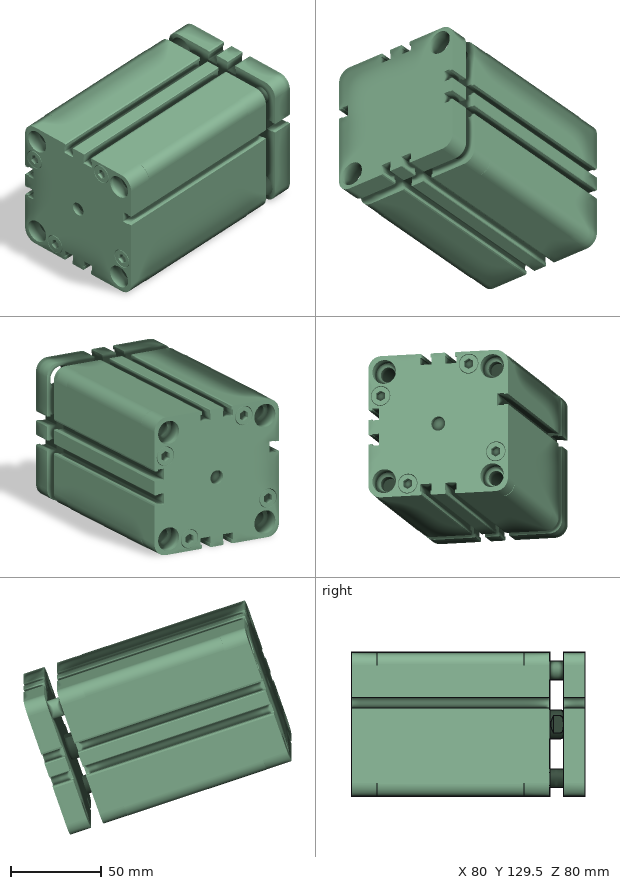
import cadquery as cq

side = 80.0
half = side / 2
total_length = 129.5
cap_length = 14.2
plate_thickness = 12.0
gap = 7.5
plate_start = total_length - plate_thickness
body_length = plate_start - gap
barrel_length = body_length - 2 * cap_length
cap_corner_radius = 7.3
barrel_corner_radius = 6.7

slot_depth = 6.2
slot_lip = 2.2
slot_inner_edge = 3.9
slot_outer_edge = 10.5
slot_inner_lip = 0.4
slot_outer_lip = 0.9
slot_corner_radius = 0.8
mouth_bevel_drop = 0.3
single_slot_center = 11.9
single_slot_width = 6.7
single_slot_mouth = 5.8

corner_offset = 31.0
corner_bore = 8.4
counterbore = 13.5
counterbore_depth = 8.5
plate_bore = 14.0

screw_far = 33.0
screw_near = 17.5
screw_recess = 11.1
screw_head = 10.5
screw_head_height = 6.0
socket_corners = 6.0
socket_depth = 4.0

center_bore = 8.0
center_depth = 4.0

pin_offset = 29.9
pin_diameter = 10.5
rod_diameter = 16.0
rod_flats = 13.0
rod_tip_radius = 1.7
flat_run_out_offset = 0.6


def xz_plane(y):
    """Sketch plane at the given Y: local x is X, local y is Z; a negative extrusion goes toward +Y."""
    return cq.Workplane("XZ", origin=(0, y, 0))


def cylinder(x, z, diameter, start, length):
    return xz_plane(start).center(x, z).circle(diameter / 2).extrude(-length)


def rounded_block(start, length, radius):
    return xz_plane(start).rect(side, side).extrude(-length).edges("|Y").fillet(radius)


def turn(solid, angle):
    """Rotate a solid about the part's Y axis."""
    return solid.rotate((0, 0, 0), (0, 1, 0), angle)


def paired_slot():
    """One slot in the +Z face, on the +X side of the middle, along the whole length."""
    floor = half - slot_depth
    lip_bottom = half - slot_lip
    bevel_bottom = half - mouth_bevel_drop
    mouth_inner = slot_inner_edge + slot_inner_lip
    mouth_outer = slot_outer_edge - slot_outer_lip
    return (
        xz_plane(0)
        .moveTo(slot_inner_edge, half)
        .lineTo(mouth_inner, bevel_bottom)
        .lineTo(mouth_inner, lip_bottom)
        .lineTo(slot_inner_edge, lip_bottom)
        .lineTo(slot_inner_edge, floor)
        .lineTo(slot_outer_edge - slot_corner_radius, floor)
        .radiusArc((slot_outer_edge, floor + slot_corner_radius), -slot_corner_radius)
        .lineTo(slot_outer_edge, lip_bottom)
        .lineTo(mouth_outer, lip_bottom)
        .lineTo(mouth_outer, bevel_bottom)
        .lineTo(slot_outer_edge, half)
        .close()
        .extrude(-total_length)
    )


def single_slot():
    """The only slot in the +X face, along the whole length."""
    cavity_depth = slot_depth - slot_lip
    cavity_x = half - slot_lip - cavity_depth / 2
    mouth = xz_plane(0).center(half - slot_depth / 2, single_slot_center)
    cavity = xz_plane(0).center(cavity_x, single_slot_center)
    return (
        mouth.rect(slot_depth, single_slot_mouth).extrude(-total_length)
        .union(cavity.rect(cavity_depth, single_slot_width).extrude(-total_length))
    )


def piston_rod():
    """Rod across the gap, rounded at the plate, with two wrench flats facing -X and +X."""
    radius = rod_diameter / 2
    flat = rod_flats / 2
    rod = (
        cq.Workplane("XY")
        .moveTo(0, body_length)
        .lineTo(radius, body_length)
        .lineTo(radius, plate_start - rod_tip_radius)
        .radiusArc((radius - rod_tip_radius, plate_start), -rod_tip_radius)
        .lineTo(0, plate_start)
        .close()
        .revolve(360, (0, 0, 0), (0, 1, 0))
    )
    run_out_start = body_length + flat_run_out_offset
    flat_end = run_out_start + radius - flat
    flats_outline = (
        cq.Workplane("XY")
        .moveTo(-radius, body_length)
        .lineTo(radius, body_length)
        .lineTo(radius, run_out_start)
        .lineTo(flat, flat_end)
        .lineTo(flat, plate_start)
        .lineTo(-flat, plate_start)
        .lineTo(-flat, flat_end)
        .lineTo(-radius, run_out_start)
        .close()
        .extrude(radius, both=True)
    )
    return rod.intersect(flats_outline)


def screw_cut(x, z):
    """Thin gap around a flush screw head, and its hexagon socket with corners along Z."""
    recess = cylinder(x, z, screw_recess, 0, screw_head_height)
    head = cylinder(x, z, screw_head, 0, screw_head_height)
    hexagon = xz_plane(0).center(x, z).transformed(rotate=(0, 0, 90)).polygon(6, socket_corners)
    return recess.cut(head).union(hexagon.extrude(-socket_depth))


body = rounded_block(0, cap_length, cap_corner_radius)
body = body.union(rounded_block(cap_length, barrel_length, barrel_corner_radius))
body = body.union(rounded_block(body_length - cap_length, cap_length, cap_corner_radius))
plate = rounded_block(plate_start, plate_thickness, cap_corner_radius)

for sign in (-1, 1):
    x = sign * corner_offset
    body = body.cut(cylinder(x, -x, corner_bore, 0, body_length))
    body = body.cut(cylinder(x, -x, counterbore, 0, counterbore_depth))
    plate = plate.cut(cylinder(x, -x, plate_bore, plate_start, plate_thickness))

for sign in (-1, 1):
    x = sign * corner_offset
    body = body.cut(cylinder(x, x, corner_bore, 0, cap_length))
    body = body.cut(cylinder(x, x, counterbore, 0, counterbore_depth))

part = body.union(plate).union(piston_rod())
for sign in (-1, 1):
    x = sign * pin_offset
    part = part.union(cylinder(x, x, pin_diameter, body_length, gap))

slot_pair = paired_slot().union(paired_slot().mirror("YZ"))
for angle in (0, 180, -90):
    part = part.cut(turn(slot_pair, angle))
part = part.cut(single_slot())

screw_positions = (
    (screw_near, screw_far),
    (screw_far, -screw_near),
    (-screw_near, -screw_far),
    (-screw_far, screw_near),
)
for x, z in screw_positions:
    part = part.cut(screw_cut(x, z))

result = part.cut(cylinder(0, 0, center_bore, 0, center_depth))